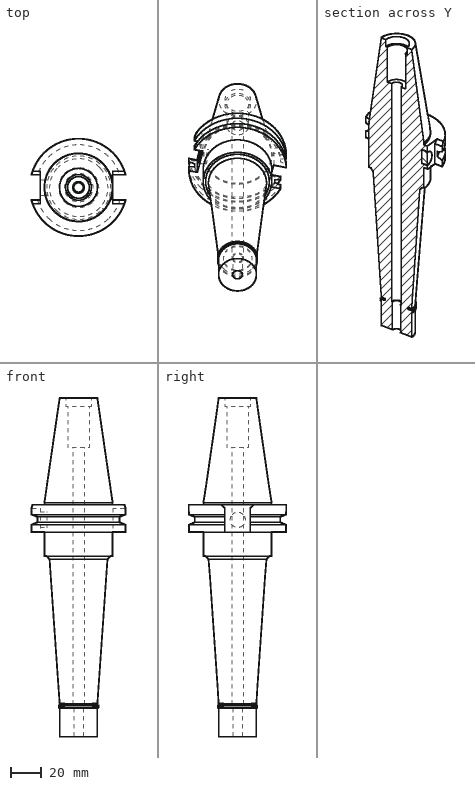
import cadquery as cq
import math

total_height = 220.6
gauge_z = 152.5
flange_top_z = 151.1
flange_bottom_z = 133.3
collar_bottom_z = 117.5
body_top_z = 115.6
body_bottom_z = 21.6

gauge_radius = 22.3
taper_rate = 7 / 24
taper_top_radius = gauge_radius - (total_height - gauge_z) * taper_rate / 2
taper_relief = 0.2

flange_radius = 31.8
groove_radius = 28.0
groove_center_z = 141.5
groove_mouth = 6.6
groove_floor = 3.5

collar_radius = gauge_radius
collar_ledge = 1.5
body_half_angle = 4.0
body_bottom_radius = 12.4
body_height = body_top_z - body_bottom_z
body_top_radius = body_bottom_radius + body_height * math.tan(math.radians(body_half_angle))

neck_radius = 9.3
neck_height = 1.0
rim_radius = 13.0
rim_height = 1.3
rim_bevel = 0.7
nose_radius = body_bottom_radius
rim_top_z = body_bottom_z - neck_height
rim_bottom_z = rim_top_z - rim_height

counterbore_radius = 8.4
counterbore_depth = 5.3
stud_hole_radius = 7.0
stud_hole_depth = 32.0
channel_radius = 3.8
outlet_radius = 3.0

slot_width = 16.3
slot_bevel = 2.5
left_slot_floor = 25.0
right_slot_floor = collar_radius

chip_diameter = 10.0
chip_depth = 4.5


def make_outer_shape():
    """Turned outside of the holder, from the nose face up to the taper end."""
    half_mouth = groove_mouth / 2
    half_floor = groove_floor / 2
    profile = [
        (0, 0),
        (nose_radius, 0),
        (nose_radius, rim_bottom_z - rim_bevel),
        (rim_radius, rim_bottom_z),
        (rim_radius, rim_top_z),
        (neck_radius, rim_top_z),
        (neck_radius, body_bottom_z),
        (body_bottom_radius, body_bottom_z),
        (body_top_radius, body_top_z),
        (collar_radius - collar_ledge, collar_bottom_z),
        (collar_radius, collar_bottom_z),
        (collar_radius, flange_bottom_z),
        (flange_radius, flange_bottom_z),
        (flange_radius, groove_center_z - half_mouth),
        (groove_radius, groove_center_z - half_floor),
        (groove_radius, groove_center_z + half_floor),
        (flange_radius, groove_center_z + half_mouth),
        (flange_radius, flange_top_z),
        (gauge_radius - taper_relief, flange_top_z),
        (gauge_radius - taper_relief, gauge_z),
        (gauge_radius, gauge_z),
        (taper_top_radius, total_height),
        (0, total_height),
    ]
    return cq.Workplane("XZ").polyline(profile).close().revolve(360, (0, 0), (0, 1))


def make_axial_bore():
    """Through bore: counterbore, pull-stud hole, coolant channel and outlet."""
    counterbore_z = total_height - counterbore_depth
    stud_hole_z = total_height - stud_hole_depth
    profile = [
        (0, 0),
        (outlet_radius, 0),
        (outlet_radius, body_bottom_z),
        (channel_radius, body_bottom_z),
        (channel_radius, stud_hole_z),
        (stud_hole_radius, stud_hole_z),
        (stud_hole_radius, counterbore_z),
        (counterbore_radius, counterbore_z),
        (counterbore_radius, total_height),
        (0, total_height),
    ]
    return cq.Workplane("XZ").polyline(profile).close().revolve(360, (0, 0), (0, 1))


def make_slot_cutter(floor_distance, side):
    """Drive slot with beveled top edges; side is -1 for -X and +1 for +X."""
    half_width = slot_width / 2
    outline = [
        (-half_width, flange_bottom_z),
        (half_width, flange_bottom_z),
        (half_width, flange_top_z - slot_bevel),
        (half_width + slot_bevel, flange_top_z),
        (-half_width - slot_bevel, flange_top_z),
        (-half_width, flange_top_z - slot_bevel),
    ]
    return (
        cq.Workplane("YZ", origin=(side * floor_distance, 0, 0))
        .polyline(outline)
        .close()
        .extrude(side * (flange_radius - floor_distance))
    )


def make_chip():
    """Data chip, its outer face level with the left slot floor."""
    return (
        cq.Workplane("YZ", origin=(-left_slot_floor, 0, groove_center_z))
        .circle(chip_diameter / 2)
        .extrude(chip_depth)
    )


def make_holder():
    """Tool holder with its bore, drive slots and chip pocket."""
    return (
        make_outer_shape()
        .cut(make_axial_bore())
        .cut(make_slot_cutter(left_slot_floor, -1))
        .cut(make_slot_cutter(right_slot_floor, 1))
        .cut(make_chip())
    )


holder = make_holder()
chip = make_chip()

result = cq.Compound.makeCompound([holder.val(), chip.val()])